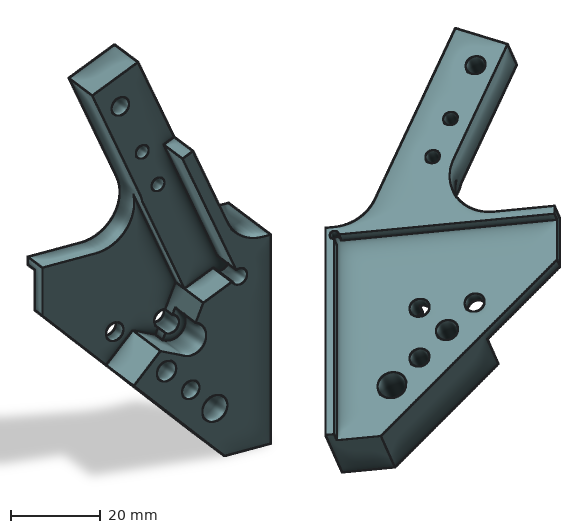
import cadquery as cq
import math

recess_depth = 3.0
plate_thickness = 6.36
counterbore_floor = 9.5
arm_thickness = 10.2
total_thickness = 18.36

plate_size = 52.0
total_height = 98.99
bottom_width = 12.0
lip_width = 2.0
lip_relief_radius = 1.0

lean = math.radians(24.0)
arm_width = 13.0
arm_length = 59.2
arm_top_y = -29.5
arm_fillet_radius = 10.0
arm_hole_inset = 8.2
arm_holes = [(7.1, 4.5), (21.1, 3.3), (31.1, 3.3)]

step_width = 13.22

rib_width = 3.0
rib_setback = 23.0
rib_relief_radius = 2.0

peak_y = -28.6
peak_z = 30.4

pattern_y = -27.0
pattern_z = 25.0
pattern_pitch = 6.25
center_hole_diameter = 5.0
screw_hole_diameter = 4.5
end_hole_diameter = 6.5
counterbore_diameter = 8.0


def arm_point(inset, distance):
    """Point on the arm, inset from its rear edge and at a distance down from its end."""
    y = arm_top_y - inset * math.cos(lean) + distance * math.sin(lean)
    z = total_height - inset * math.sin(lean) - distance * math.cos(lean)
    return (y, z)


def distance_to_plate(inset):
    """Distance down the arm, at an inset from its rear edge, to the level of the plate's top edge."""
    drop = total_height - plate_size - inset * math.sin(lean)
    return drop / math.cos(lean)


def pattern_point(column, row):
    """Point of the plate's hole pattern, in steps from its middle hole."""
    return (pattern_y + column * pattern_pitch, pattern_z + row * pattern_pitch)


def prism(points, x_start, x_end):
    """Straight-sided YZ outline, extruded between two X positions."""
    plane = cq.Workplane("YZ", origin=(x_start, 0, 0))
    return plane.polyline(points).close().extrude(x_end - x_start)


def cylinder(center, diameter, x_start, x_end):
    """Round bar along X between two X positions."""
    plane = cq.Workplane("YZ", origin=(x_start, 0, 0))
    return plane.center(*center).circle(diameter / 2).extrude(x_end - x_start)


def arm_strip(width, start, x_start, x_end):
    """Rectangle along the arm's rear edge, from a distance below the arm end to the arm's foot."""
    outline = [
        arm_point(0, start),
        arm_point(width, start),
        arm_point(width, arm_length),
        arm_point(0, arm_length),
    ]
    return prism(outline, x_start, x_end)


def arm_fillet(inset, side, x_end):
    """Concave fillet between the arm edge at an inset and the plate's top edge.

    Side is +1 for the rear (+Y) edge and -1 for the front edge.
    """
    foot_y, foot_z = arm_point(inset, distance_to_plate(inset))
    corner_angle = math.pi / 2 + side * lean
    setback = arm_fillet_radius / math.tan(corner_angle / 2)
    on_top = (foot_y + side * setback, foot_z)
    on_arm = arm_point(inset, distance_to_plate(inset) - setback)
    center = (on_top[0], foot_z + arm_fillet_radius)
    wedge = prism([(foot_y, foot_z), on_top, center, on_arm], 0, x_end)
    return wedge.cut(cylinder(center, 2 * arm_fillet_radius, 0, x_end))


def plate():
    """Flat plate with its front bottom corner cut off at 45 degrees."""
    outline = [
        (0, 0),
        (0, plate_size),
        (-plate_size, plate_size),
        (-plate_size, plate_size - bottom_width),
        (-bottom_width, 0),
    ]
    return prism(outline, 0, plate_thickness)


def arm():
    """Leaning arm with a fillet on either side of its foot."""
    rear_fillet = arm_fillet(0, 1, total_thickness)
    front_fillet = arm_fillet(arm_width, -1, plate_thickness)
    bar = arm_strip(arm_width, 0, 0, arm_thickness)
    return bar.union(rear_fillet).union(front_fillet)


def arm_step():
    """Foot of the arm behind the plate, where a straight front edge trims the fillet."""
    fillet = arm_fillet(arm_width, -1, arm_thickness)
    trimmed_fillet = fillet.intersect(arm_strip(step_width, 0, plate_thickness, arm_thickness))
    foot = arm_strip(step_width, distance_to_plate(step_width), plate_thickness, arm_thickness)
    return foot.union(trimmed_fillet)


def block():
    """Thick block behind the plate, notched at its front and stepped under the arm."""
    step_y, step_z = arm_point(step_width, arm_length)
    end_y = (peak_y - peak_z - bottom_width) / 2
    end_z = -bottom_width - end_y
    notch_depth = (step_y - peak_y) * math.sin(lean) + (step_z - peak_z) * math.cos(lean)
    notch_y = step_y - notch_depth * math.sin(lean)
    notch_z = step_z - notch_depth * math.cos(lean)
    outline = [
        (0, 0),
        (0, plate_size),
        arm_point(0, distance_to_plate(0)),
        arm_point(rib_width, arm_length),
        (step_y, step_z),
        (notch_y, notch_z),
        (peak_y, peak_z),
        (end_y, end_z),
        (-bottom_width, 0),
    ]
    return prism(outline, plate_thickness, total_thickness)


def rib():
    """Thin wall along the rear edge of the arm."""
    return arm_strip(rib_width, rib_setback, arm_thickness, total_thickness)


def rib_relief():
    """Round relief in the corner between the rib and the step."""
    corner = arm_point(rib_width, arm_length)
    return cylinder(corner, 2 * rib_relief_radius, arm_thickness, total_thickness)


def front_recess():
    """Shallow cut in the front face that leaves a lip along the rear and top edges."""
    inner_corner = (-lip_width, plate_size - lip_width)
    outline = [
        inner_corner,
        (-plate_size, plate_size - lip_width),
        (-plate_size, 0),
        (-lip_width, 0),
    ]
    relief = cylinder(inner_corner, 2 * lip_relief_radius, 0, recess_depth)
    return prism(outline, 0, recess_depth).union(relief)


def cut_arm_holes(body):
    """Drill the row of holes along the arm."""
    for distance, diameter in arm_holes:
        center = arm_point(arm_hole_inset, distance)
        body = body.cut(cylinder(center, diameter, 0, arm_thickness))
    return body


def cut_plate_holes(body):
    """Drill the plate's hole pattern, with one hole counterbored from the back."""
    holes = [
        (0, 0, center_hole_diameter),
        (1, 1, screw_hole_diameter),
        (-1, 1, screw_hole_diameter),
        (1, -1, screw_hole_diameter),
        (2, -2, end_hole_diameter),
    ]
    for column, row, diameter in holes:
        body = body.cut(cylinder(pattern_point(column, row), diameter, 0, total_thickness))
    counterbore = cylinder(pattern_point(1, 1), counterbore_diameter, counterbore_floor, total_thickness)
    return body.cut(counterbore)


body = plate().union(arm()).union(arm_step()).union(block()).union(rib())
body = body.cut(front_recess()).cut(rib_relief())
body = cut_arm_holes(body)
result = cut_plate_holes(body)